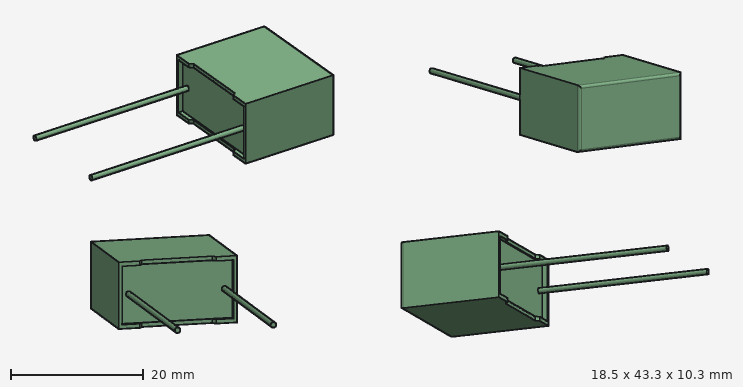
import cadquery as cq

total_length = 43.3
case_width = 18.5
case_height = 10.3
case_length = 16.3
case_mouth_y = 0.0
case_back_y = case_mouth_y + case_length
lead_tip_y = case_back_y - total_length

side_wall = 0.5
top_wall = 0.65
back_wall = side_wall
back_edge_radius = 0.45
notch_depth = 0.55
notch_mouth_width = 11.95
notch_floor_width = 11.0

cavity_width = case_width - 2 * side_wall
cavity_height = case_height - 2 * top_wall
resin_recess = 0.8
resin_front_y = case_mouth_y + resin_recess
resin_back_y = case_back_y - back_wall

lead_diameter = 0.85
lead_pitch = 15.0


def block_along_y(width, height, start_y, end_y):
    """Box centred on the Y axis, between two Y positions."""
    length = end_y - start_y
    return cq.Workplane("XY").box(width, length, height).translate((0, (start_y + end_y) / 2, 0))


def make_notch_cutter():
    """Tapered relief across the top and bottom walls at the mouth."""
    return (
        cq.Workplane("XY")
        .workplane(offset=-case_height / 2)
        .polyline([
            (-notch_mouth_width / 2, case_mouth_y),
            (-notch_floor_width / 2, case_mouth_y + notch_depth),
            (notch_floor_width / 2, case_mouth_y + notch_depth),
            (notch_mouth_width / 2, case_mouth_y),
        ])
        .close()
        .extrude(case_height)
    )


def make_case():
    """Open box with rounded back edges and notched top and bottom walls."""
    shell = block_along_y(case_width, case_height, case_mouth_y, case_back_y)
    shell = shell.faces(">Y").edges().fillet(back_edge_radius)
    cavity = block_along_y(cavity_width, cavity_height, case_mouth_y, resin_back_y)
    return shell.cut(cavity).cut(make_notch_cutter())


def make_resin():
    """Block that fills the case behind the recess."""
    return block_along_y(cavity_width, cavity_height, resin_front_y, resin_back_y)


def make_lead(x):
    """Round wire from the resin face to the lead tip."""
    lead_length = resin_front_y - lead_tip_y
    return (
        cq.Workplane("XZ", origin=(x, resin_front_y, 0))
        .circle(lead_diameter / 2)
        .extrude(lead_length)
    )


case = make_case()
resin = make_resin()
leads = [make_lead(side * lead_pitch / 2) for side in (-1, 1)]

result = cq.Compound.makeCompound([case.val(), resin.val(), *[lead.val() for lead in leads]])